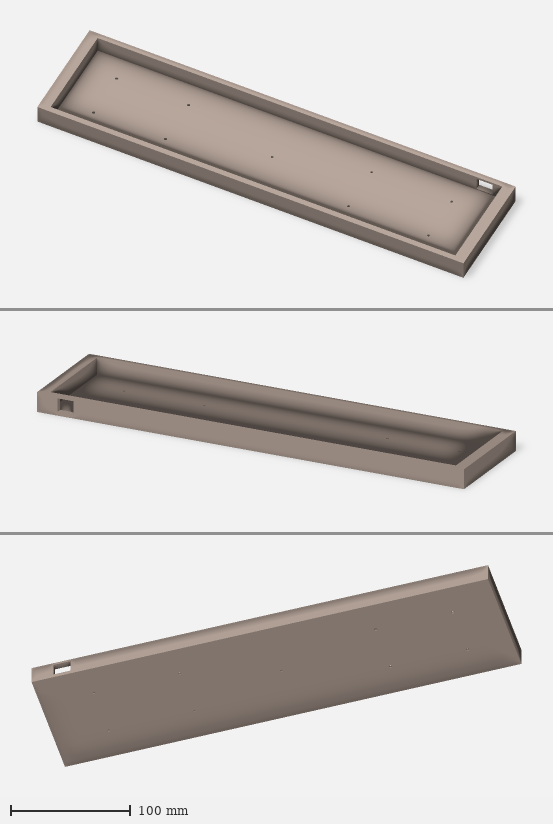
import cadquery as cq

length = 397.0
width = 97.5
height = 17.8

plate_thickness = 2.5
end_wall = 10.0
side_wall = 5.0

large_hole_diameter = 2.7
small_hole_diameter = 2.2
hole_centre_y = 0.75
hole_row_spacing = 43.0
left_hole_columns = (-160.0, -93.0)
right_hole_columns = (77.5, 152.0)
middle_hole_x = -4.5

window_length = 15.0
window_height = 12.0
window_end_offset = 9.0
window_sill = 1.0


def base_plate():
    return cq.Workplane("XY").box(length, width, plate_thickness, centered=(True, True, False))


def frame():
    frame_height = height - plate_thickness
    return (
        cq.Workplane("XY")
        .workplane(offset=plate_thickness)
        .rect(length, width)
        .rect(length - 2 * end_wall, width - 2 * side_wall)
        .extrude(frame_height)
    )


def hole_cutters(diameter, centres):
    return cq.Workplane("XY").pushPoints(centres).circle(diameter / 2).extrude(plate_thickness)


def hole_pairs(columns):
    row_offset = hole_row_spacing / 2
    centres = []
    for x in columns:
        centres.append((x, hole_centre_y - row_offset))
        centres.append((x, hole_centre_y + row_offset))
    return centres


def plate_holes():
    large = hole_cutters(large_hole_diameter, hole_pairs(left_hole_columns))
    small_centres = hole_pairs(right_hole_columns)
    small_centres.append((middle_hole_x, hole_centre_y))
    return large.union(hole_cutters(small_hole_diameter, small_centres))


def cable_window():
    window_end_x = length / 2 - end_wall - window_end_offset
    centre_x = window_end_x - window_length / 2
    centre_y = width / 2 - side_wall / 2
    bottom_z = plate_thickness + window_sill
    return (
        cq.Workplane("XY")
        .box(window_length, side_wall, window_height, centered=(True, True, False))
        .translate((centre_x, centre_y, bottom_z))
    )


tray = base_plate().union(frame(), clean=False)
result = tray.cut(plate_holes(), clean=False).cut(cable_window(), clean=False)